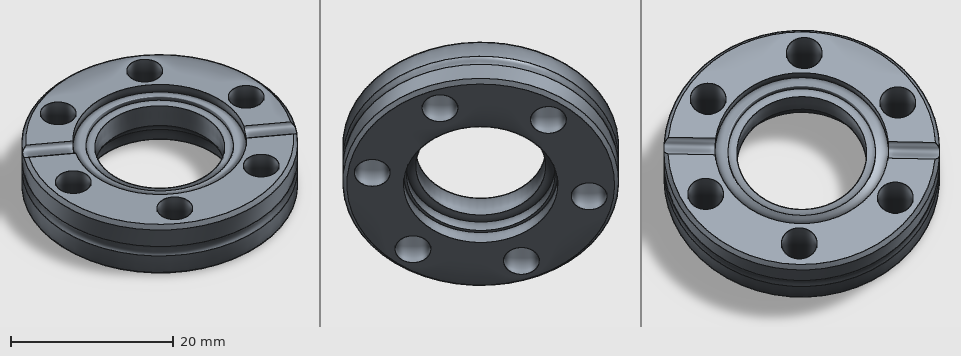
import cadquery as cq
import math


ring_radius = 17.0
ring_height = 7.75
rim_chamfer = 0.5
ring_middle = ring_height / 2

rim_groove_width = 1.5
rim_groove_depth = 0.2

bolt_count = 6
bolt_diameter = 4.4
bolt_circle_radius = 13.5

leak_groove_radius = 1.5
leak_groove_depth = 0.57
leak_groove_angles = (30, 210)
leak_groove_overrun = 0.5

seat_radius = 10.7
neck_radius = 9.5
shoulder_height = ring_middle

bore_radius = 8.0
tube_socket_radius = 9.15
tube_socket_top = 3.42
neck_bottom = 1.85
seal_recess_depth = 1.2
seal_floor = ring_height - seal_recess_depth
knife_inner_radius = 9.1
knife_edge_rounding = 0.12
knife_slope = math.radians(20)


def revolve_about_z(profile):
    return profile.close().revolve(360, (0, 0, 0), (0, 1, 0))


def make_ring_blank():
    """Chamfered ring with its stepped bore and the round groove in its rim."""
    half_width = rim_groove_width / 2
    chamfer_start = ring_radius - rim_chamfer
    groove_bottom = (ring_radius - rim_groove_depth, ring_middle)
    profile = (
        cq.Workplane("XZ")
        .moveTo(neck_radius, 0)
        .lineTo(chamfer_start, 0)
        .lineTo(ring_radius, rim_chamfer)
        .lineTo(ring_radius, ring_middle - half_width)
        .threePointArc(groove_bottom, (ring_radius, ring_middle + half_width))
        .lineTo(ring_radius, ring_height - rim_chamfer)
        .lineTo(chamfer_start, ring_height)
        .lineTo(seat_radius, ring_height)
        .lineTo(seat_radius, shoulder_height)
        .lineTo(neck_radius, shoulder_height)
    )
    return revolve_about_z(profile)


def make_bolt_holes():
    return (
        cq.Workplane("XY")
        .polarArray(bolt_circle_radius, 0, 360, bolt_count)
        .circle(bolt_diameter / 2)
        .extrude(ring_height)
    )


def make_leak_groove(angle):
    """Round cutter that lies along a radius, from the axis out past the rim."""
    axis_height = ring_height - leak_groove_depth + leak_groove_radius
    return (
        cq.Workplane("YZ")
        .center(0, axis_height)
        .circle(leak_groove_radius)
        .extrude(ring_radius + leak_groove_overrun)
        .rotate((0, 0, 0), (0, 0, 1), angle)
    )


def make_bolt_ring():
    ring = make_ring_blank().cut(make_bolt_holes())
    for angle in leak_groove_angles:
        ring = ring.cut(make_leak_groove(angle))
    return ring


def make_insert():
    """Head with a rounded knife edge on top and a thin neck around the tube socket below."""
    rounding_centre_radius = knife_inner_radius + knife_edge_rounding
    slope_end_radius = rounding_centre_radius + knife_edge_rounding * math.sin(knife_slope)
    slope_end_height = seal_floor + (seat_radius - slope_end_radius) * math.tan(knife_slope)
    rounding_centre_height = slope_end_height - knife_edge_rounding * math.cos(knife_slope)
    rounding_mid_angle = (math.pi / 2 - knife_slope + math.pi) / 2
    rounding_midpoint = (
        rounding_centre_radius + knife_edge_rounding * math.cos(rounding_mid_angle),
        rounding_centre_height + knife_edge_rounding * math.sin(rounding_mid_angle),
    )
    profile = (
        cq.Workplane("XZ")
        .moveTo(bore_radius, tube_socket_top)
        .lineTo(tube_socket_radius, tube_socket_top)
        .lineTo(tube_socket_radius, neck_bottom)
        .lineTo(neck_radius, neck_bottom)
        .lineTo(neck_radius, shoulder_height)
        .lineTo(seat_radius, shoulder_height)
        .lineTo(seat_radius, seal_floor)
        .lineTo(slope_end_radius, slope_end_height)
        .threePointArc(rounding_midpoint, (knife_inner_radius, rounding_centre_height))
        .lineTo(knife_inner_radius, seal_floor)
        .lineTo(bore_radius, seal_floor)
    )
    return revolve_about_z(profile)


bolt_ring = make_bolt_ring()
insert = make_insert()

result = cq.Compound.makeCompound([bolt_ring.val(), insert.val()])